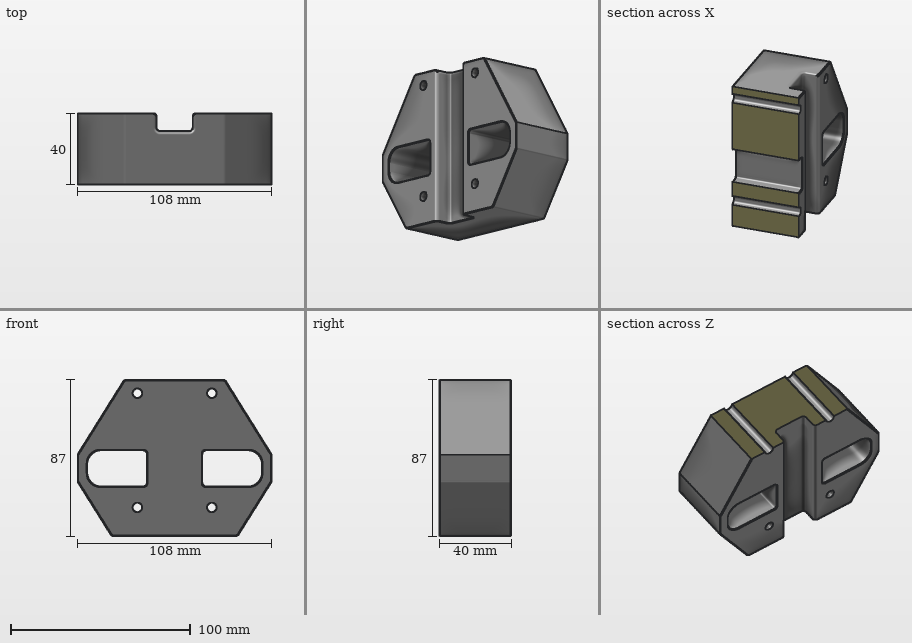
import cadquery as cq

WIDTH = 108.0
DEPTH = 40.0
HEIGHT = 87.0
TOP_HALF_WIDTH = 28.0
BOTTOM_HALF_WIDTH = 35.0
SIDE_BOTTOM_Z = 30.3
SIDE_TOP_Z = 45.4
CORNER_RADIUS = 2.0
EDGE_CHAMFER = 0.5

WINDOW_INNER_X = 15.5
WINDOW_OUTER_X = 48.5
WINDOW_HEIGHT = 20.0
WINDOW_Z = 37.7
WINDOW_OUTER_RADIUS = 7.5
WINDOW_INNER_RADIUS = 2.0

HOLE_DIAMETER = 5.2
HOLE_SPACING_X = 41.4
HOLE_LOWER_Z = 16.0
HOLE_UPPER_Z = 79.5

NOTCH_WIDTH = 20.0
NOTCH_DEPTH = 10.0
NOTCH_CORNER_RADIUS = 2.0
NOTCH_RIM_RADIUS = 2.0

BACK_Y = DEPTH / 2


def prism(sketch):
    """Extrude a closed XZ outline over the full depth, centred on Y = 0."""
    return sketch.extrude(DEPTH / 2, both=True)


def make_body():
    outline = [
        (-BOTTOM_HALF_WIDTH, 0),
        (BOTTOM_HALF_WIDTH, 0),
        (WIDTH / 2, SIDE_BOTTOM_Z),
        (WIDTH / 2, SIDE_TOP_Z),
        (TOP_HALF_WIDTH, HEIGHT),
        (-TOP_HALF_WIDTH, HEIGHT),
        (-WIDTH / 2, SIDE_TOP_Z),
        (-WIDTH / 2, SIDE_BOTTOM_Z),
    ]
    return prism(cq.Workplane("XZ").polyline(outline).close())


def round_corners(body):
    """Round the top, bottom and lower side corners; the upper side corners stay sharp."""
    def corner_edge(x, z):
        return cq.selectors.NearestToPointSelector((x, 0, z))

    corners = [
        (TOP_HALF_WIDTH, HEIGHT),
        (BOTTOM_HALF_WIDTH, 0),
        (WIDTH / 2, SIDE_BOTTOM_Z),
    ]
    for x, z in corners:
        for side in (-1, 1):
            body = body.edges("|Y").edges(corner_edge(side * x, z)).fillet(CORNER_RADIUS)
    return body


def make_window(side):
    length = WINDOW_OUTER_X - WINDOW_INNER_X
    centre_x = side * (WINDOW_OUTER_X + WINDOW_INNER_X) / 2
    outer, inner = (">X", "<X") if side > 0 else ("<X", ">X")
    window = prism(cq.Workplane("XZ").center(centre_x, WINDOW_Z).rect(length, WINDOW_HEIGHT))
    window = window.faces(outer).edges("|Y").fillet(WINDOW_OUTER_RADIUS)
    return window.faces(inner).edges("|Y").fillet(WINDOW_INNER_RADIUS)


def make_holes():
    positions = [
        (side * HOLE_SPACING_X / 2, z)
        for side in (-1, 1)
        for z in (HOLE_LOWER_Z, HOLE_UPPER_Z)
    ]
    return prism(cq.Workplane("XZ").pushPoints(positions).circle(HOLE_DIAMETER / 2))


def cut_notch(body):
    """Cut the notch, then round its top rim and the two vertical edges of its mouth together."""
    notch = (
        cq.Workplane("XY")
        .center(0, BACK_Y)
        .rect(NOTCH_WIDTH, 2 * NOTCH_DEPTH)
        .extrude(HEIGHT)
        .edges("|Z")
        .fillet(NOTCH_CORNER_RADIUS)
    )
    margin = 0.1
    half_width = NOTCH_WIDTH / 2 + margin
    rim = cq.selectors.BoxSelector(
        (-half_width, BACK_Y - NOTCH_DEPTH - margin, HEIGHT - margin),
        (half_width, BACK_Y - margin, HEIGHT + margin),
    )
    mouth = cq.selectors.BoxSelector(
        (-half_width, BACK_Y - margin, margin),
        (half_width, BACK_Y + margin, HEIGHT + margin),
    )
    return body.cut(notch).edges(rim + mouth).fillet(NOTCH_RIM_RADIUS)


body = round_corners(make_body())
for window_side in (-1, 1):
    body = body.cut(make_window(window_side))
body = cut_notch(body)
body = body.faces("<Y or >Y").edges("not |Z").chamfer(EDGE_CHAMFER)
result = body.cut(make_holes())